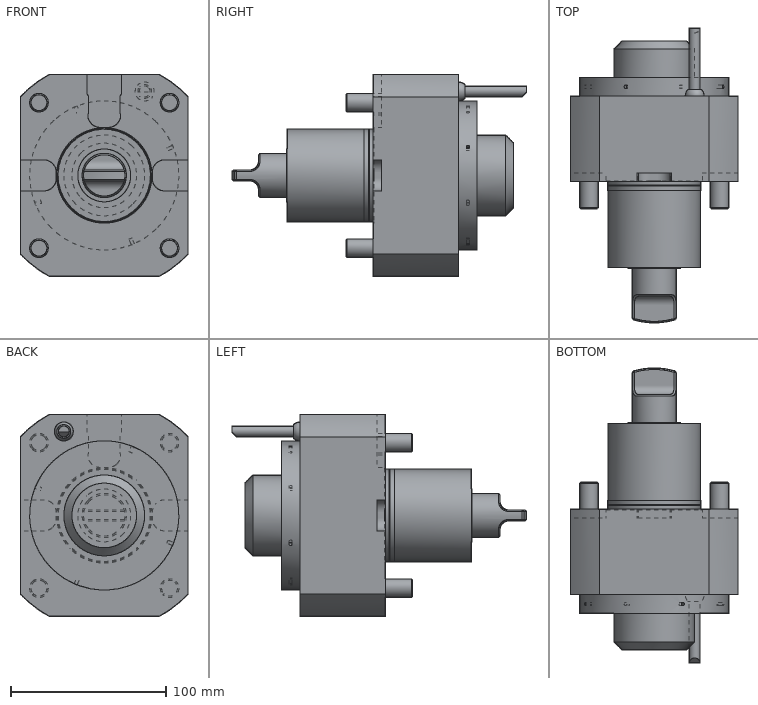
import cadquery as cq
import math


HOUSING_WIDTH = 108.0
HOUSING_HEIGHT = 130.0
HOUSING_DEPTH = 55.0
CORNER_RADIUS = 74.0

FLANGE_DIAMETER = 96.0
FLANGE_THICKNESS = 12.0
HUB_DIAMETER = 52.0
HUB_LENGTH = 23.5
HUB_CHAMFER = 5.2
FLANGE_HOLE_DIAMETER = 2.1
FLANGE_HOLE_DEPTH = 4.0
FLANGE_HOLE_COUNT = 4
FLANGE_HOLE_START_ANGLE = 22.5

SLEEVE_LENGTH = 55.3
SEAT_DIAMETER = 60.0
BARREL_DIAMETER = 59.8
SEAT_END = 5.7
RING_GROOVE_START = 2.3
RING_GROOVE_WIDTH = 0.6
RING_GROOVE_DIAMETER = 59.2
RECESS_DIAMETER = 61.4
RECESS_DEPTH = 0.5

COLLAR_DIAMETER = 34.0
COLLAR_THICKNESS = 0.5
SHAFT_DIAMETER = 28.5
SHAFT_SHOULDER = 73.7
TANG_TIP = 90.9
TANG_THICKNESS = 7.0
TANG_ROOT_RADIUS = 5.8
TANG_TIP_RADIUS = 48.0
SHAFT_CHAMFER = 1.0

PIN_DIAMETER = 12.0
PIN_LENGTH = 17.5
PIN_CHAMFER = 0.9
PIN_SPACING_X = 84.0
PIN_SPACING_Z = 93.6

SLOT_DEPTH = 5.5
SLOT_CORNER_RADIUS = 8.0
SIDE_SLOT_WIDTH = 20.0
SLOT_END = 30.9
TOP_SLOT_MOUTH_WIDTH = 22.4
TOP_SLOT_NECK_WIDTH = 20.0
TOP_SLOT_FOOT_WIDTH = 21.2
TOP_SLOT_MOUTH_HEIGHT = 52.6
TOP_SLOT_NECK_TOP = 50.8
TOP_SLOT_NECK_BOTTOM = 40.2

CABLE_X = 26.0
CABLE_Z = 54.0
CABLE_DIAMETER = 7.0
CABLE_END = 98.8
CABLE_CUT = 3.1
GLAND_DIAMETER = 12.2
GLAND_HEIGHT = 4.2


def cylinder(diameter, y_start, y_end, x=0.0, z=0.0):
    """Cylinder along Y between two stations."""
    return cq.Workplane(
        cq.Solid.makeCylinder(
            diameter / 2, y_end - y_start, cq.Vector(x, y_start, z), cq.Vector(0, 1, 0)
        )
    )


def ring_cut(outer, inner, y_start, y_end):
    """Annular cutter around the spindle axis."""
    return cylinder(outer, y_start, y_end).cut(cylinder(inner, y_start, y_end))


def make_housing():
    block = cq.Workplane("XY").box(HOUSING_WIDTH, HOUSING_DEPTH, HOUSING_HEIGHT)
    block = block.translate((0, HOUSING_DEPTH / 2, 0))
    return block.intersect(cylinder(2 * CORNER_RADIUS, 0, HOUSING_DEPTH))


def make_slot(outline):
    """Extrude a front face outline (drawn in X and Z) to the slot depth."""
    return outline.close().extrude(-SLOT_DEPTH)


def make_top_slot():
    mouth = TOP_SLOT_MOUTH_WIDTH / 2
    neck = TOP_SLOT_NECK_WIDTH / 2
    foot = TOP_SLOT_FOOT_WIDTH / 2
    flat = foot - SLOT_CORNER_RADIUS
    foot_top = SLOT_END + SLOT_CORNER_RADIUS
    top = HOUSING_HEIGHT / 2
    outline = (
        cq.Workplane("XZ")
        .moveTo(-mouth, top)
        .lineTo(-mouth, TOP_SLOT_MOUTH_HEIGHT)
        .lineTo(-neck, TOP_SLOT_NECK_TOP)
        .lineTo(-neck, TOP_SLOT_NECK_BOTTOM)
        .lineTo(-foot, foot_top)
        .radiusArc((-flat, SLOT_END), -SLOT_CORNER_RADIUS)
        .lineTo(flat, SLOT_END)
        .radiusArc((foot, foot_top), -SLOT_CORNER_RADIUS)
        .lineTo(neck, TOP_SLOT_NECK_BOTTOM)
        .lineTo(neck, TOP_SLOT_NECK_TOP)
        .lineTo(mouth, TOP_SLOT_MOUTH_HEIGHT)
        .lineTo(mouth, top)
    )
    return make_slot(outline)


def make_right_slot():
    half = SIDE_SLOT_WIDTH / 2
    flat = half - SLOT_CORNER_RADIUS
    arc_start = SLOT_END + SLOT_CORNER_RADIUS
    side = HOUSING_WIDTH / 2
    outline = (
        cq.Workplane("XZ")
        .moveTo(side, half)
        .lineTo(arc_start, half)
        .radiusArc((SLOT_END, flat), -SLOT_CORNER_RADIUS)
        .lineTo(SLOT_END, -flat)
        .radiusArc((arc_start, -half), -SLOT_CORNER_RADIUS)
        .lineTo(side, -half)
    )
    return make_slot(outline)


def make_flange():
    rear = HOUSING_DEPTH + FLANGE_THICKNESS
    flange = cylinder(FLANGE_DIAMETER, HOUSING_DEPTH, rear)
    hole_y = HOUSING_DEPTH + FLANGE_THICKNESS / 2
    for index in range(FLANGE_HOLE_COUNT):
        angle = math.radians(FLANGE_HOLE_START_ANGLE + index * 360 / FLANGE_HOLE_COUNT)
        outward = cq.Vector(math.cos(angle), 0, math.sin(angle))
        floor = outward * (FLANGE_DIAMETER / 2 - FLANGE_HOLE_DEPTH) + cq.Vector(0, hole_y, 0)
        hole = cq.Solid.makeCylinder(FLANGE_HOLE_DIAMETER / 2, 2 * FLANGE_HOLE_DEPTH, floor, outward)
        flange = flange.cut(cq.Workplane(hole))
    hub = cylinder(HUB_DIAMETER, rear, rear + HUB_LENGTH).faces(">Y").chamfer(HUB_CHAMFER)
    return flange.union(hub)


def make_sleeve():
    """Sleeve running from inside the housing to its front end."""
    sleeve = cylinder(SEAT_DIAMETER, -SEAT_END, HOUSING_DEPTH / 2)
    sleeve = sleeve.union(cylinder(BARREL_DIAMETER, -SLEEVE_LENGTH, -SEAT_END))
    groove_end = RING_GROOVE_START + RING_GROOVE_WIDTH
    return sleeve.cut(ring_cut(SEAT_DIAMETER, RING_GROOVE_DIAMETER, -groove_end, -RING_GROOVE_START))


def make_shaft():
    """Shaft milled to a tang with filleted roots, a rounded tip and chamfered edges."""
    radius = SHAFT_DIAMETER / 2
    half = TANG_THICKNESS / 2
    root_start = half + TANG_ROOT_RADIUS
    root_end = SHAFT_SHOULDER + TANG_ROOT_RADIUS
    blank = cylinder(SHAFT_DIAMETER, -TANG_TIP, -SLEEVE_LENGTH)
    tip_round = cq.Workplane("XY").center(0, TANG_TIP_RADIUS - TANG_TIP)
    tip_round = tip_round.circle(TANG_TIP_RADIUS).extrude(radius, both=True)
    blank = blank.intersect(tip_round)
    upper_waste = (
        cq.Workplane("YZ")
        .moveTo(-SHAFT_SHOULDER, SHAFT_DIAMETER)
        .lineTo(-SHAFT_SHOULDER, root_start)
        .radiusArc((-root_end, half), TANG_ROOT_RADIUS)
        .lineTo(-TANG_TIP, half)
        .lineTo(-TANG_TIP, SHAFT_DIAMETER)
        .close()
        .extrude(SHAFT_DIAMETER, both=True)
    )
    shaft = blank.cut(upper_waste).cut(upper_waste.mirror("XY"))
    tang_region = cq.selectors.BoxSelector(
        (-SHAFT_DIAMETER, -2 * TANG_TIP, -SHAFT_DIAMETER),
        (SHAFT_DIAMETER, -SHAFT_SHOULDER + SHAFT_CHAMFER, SHAFT_DIAMETER),
    )
    across_tang = cq.selectors.ParallelDirSelector(cq.Vector(1, 0, 0))
    shaft = shaft.edges(tang_region - across_tang).chamfer(SHAFT_CHAMFER)
    return shaft.union(cylinder(COLLAR_DIAMETER, -SLEEVE_LENGTH - COLLAR_THICKNESS, -SLEEVE_LENGTH))


def make_pin(x, z):
    return cylinder(PIN_DIAMETER, -PIN_LENGTH, 0, x, z).faces("<Y").chamfer(PIN_CHAMFER)


def make_cable():
    """Cable with its end cut obliquely on the lower side, plus the gland dome."""
    cable = cylinder(CABLE_DIAMETER, HOUSING_DEPTH, CABLE_END, CABLE_X, CABLE_Z)
    bottom = CABLE_Z - CABLE_DIAMETER / 2
    end_cut = (
        cq.Workplane("YZ", origin=(CABLE_X, 0, 0))
        .moveTo(CABLE_END - CABLE_CUT, bottom)
        .lineTo(CABLE_END, bottom + CABLE_CUT)
        .lineTo(CABLE_END, bottom)
        .close()
        .extrude(CABLE_DIAMETER, both=True)
    )
    dome = cq.Workplane("XY").sphere(GLAND_DIAMETER / 2).translate((CABLE_X, HOUSING_DEPTH, CABLE_Z))
    dome = dome.intersect(
        cylinder(GLAND_DIAMETER, HOUSING_DEPTH, HOUSING_DEPTH + GLAND_HEIGHT, CABLE_X, CABLE_Z)
    )
    return cable.cut(end_cut).union(dome)


housing = make_housing().cut(make_top_slot())
right_slot = make_right_slot()
housing = housing.cut(right_slot).cut(right_slot.mirror("YZ"))
housing = housing.cut(ring_cut(RECESS_DIAMETER, SEAT_DIAMETER, 0, RECESS_DEPTH))

body = housing
for pin_x in (-PIN_SPACING_X / 2, PIN_SPACING_X / 2):
    for pin_z in (-PIN_SPACING_Z / 2, PIN_SPACING_Z / 2):
        body = body.union(make_pin(pin_x, pin_z))

result = body.union(make_flange()).union(make_sleeve()).union(make_shaft()).union(make_cable())